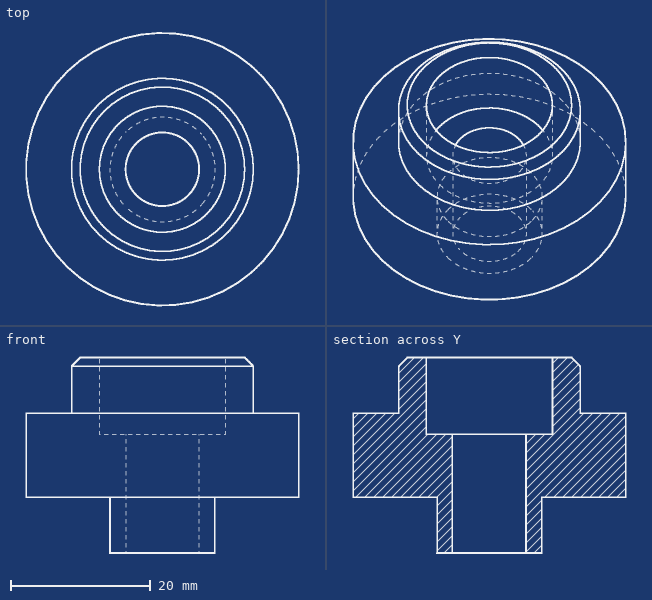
import cadquery as cq

spigot_height = 8.0
flange_height = 12.0
collar_height = 8.0

spigot_diameter = 15.0
flange_diameter = 39.0
collar_diameter = 26.0
through_hole_diameter = 10.5
bore_diameter = 18.0

bore_depth = 11.0
collar_chamfer = 1.25

spigot = cq.Workplane("XY").circle(spigot_diameter / 2).extrude(spigot_height)
flange = spigot.faces(">Z").workplane().circle(flange_diameter / 2).extrude(flange_height)
body = flange.faces(">Z").workplane().circle(collar_diameter / 2).extrude(collar_height)

body = body.faces(">Z").edges().chamfer(collar_chamfer)

result = body.faces(">Z").workplane().cboreHole(through_hole_diameter, bore_diameter, bore_depth)